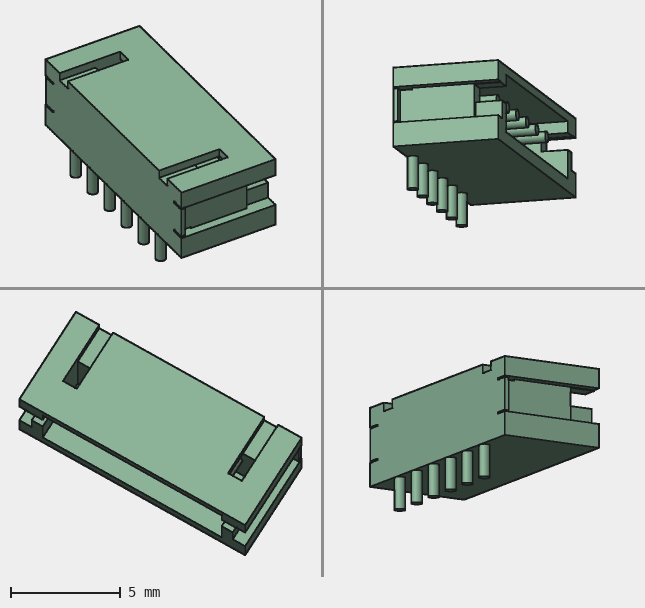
import cadquery as cq

LENGTH = 12.0
DEPTH = 5.0
HEIGHT = 3.7

CAVITY_FRONT = 1.91
END_WALL = 1.25
ROOF = 0.41
FLOOR = 0.6
CAVITY_LENGTH = LENGTH - 2 * END_WALL
CAVITY_TOP = HEIGHT - ROOF

RECESS_DEPTH = 0.45
RECESS_TOP = HEIGHT - 0.91
RECESS_BOTTOM = 1.12
FLANGE_THICKNESS = 0.22
FLANGE_INSET = 0.04

SLIT_LENGTH = 0.66
SLIT_DEPTH = 0.77
SLIT_HEIGHT = 0.07

NOTCH_FRONT = 3.75
STEP_INSET = 0.66
STEP_TOP = 1.95
NOTCH_TOP = HEIGHT - 0.95

SLOT_WIDTH = 0.73
SLOT_LENGTH = 3.22

PIN_COUNT = 6
PIN_PITCH = 1.5
PIN_DIAMETER = 0.5
TAIL_LENGTH = 1.5
CONTACT_END = 4.31
CONTACT_Z = HEIGHT - 1.32


def block(x, y, z):
    """Box spanning the given (low, high) range along each axis."""
    size = (x[1] - x[0], y[1] - y[0], z[1] - z[0])
    return cq.Workplane("XY").box(*size, centered=False).translate((x[0], y[0], z[0]))


def left_end_cuts():
    """Material removed from the left end wall and the roof slot beside it."""
    left = -LENGTH / 2
    cavity_left = left + END_WALL
    recess_z = (RECESS_BOTTOM, RECESS_TOP)
    recess = block((left, left + RECESS_DEPTH), (FLANGE_THICKNESS, DEPTH), recess_z)
    flange_trim = block((left, left + FLANGE_INSET), (0, FLANGE_THICKNESS), recess_z)
    cuts = recess.union(flange_trim)

    for slit_z in (RECESS_BOTTOM, RECESS_TOP - SLIT_HEIGHT):
        slit = block((left, left + SLIT_LENGTH), (0, SLIT_DEPTH), (slit_z, slit_z + SLIT_HEIGHT))
        cuts = cuts.union(slit)

    step_face = block((left, left + STEP_INSET), (NOTCH_FRONT, DEPTH), (RECESS_BOTTOM, NOTCH_TOP))
    window = block((left, cavity_left), (NOTCH_FRONT, DEPTH), (STEP_TOP, NOTCH_TOP))
    slot_x = (cavity_left, cavity_left + SLOT_WIDTH)
    roof_slot = block(slot_x, (0, SLOT_LENGTH), (CAVITY_TOP, HEIGHT))
    return cuts.union(step_face).union(window).union(roof_slot)


def housing():
    """Rectangular shell with mirrored end details."""
    half = LENGTH / 2
    body = block((-half, half), (0, DEPTH), (0, HEIGHT))
    cavity_x = (-CAVITY_LENGTH / 2, CAVITY_LENGTH / 2)
    body = body.cut(block(cavity_x, (CAVITY_FRONT, DEPTH), (FLOOR, CAVITY_TOP)))
    end_cuts = left_end_cuts()
    return body.cut(end_cuts).cut(end_cuts.mirror("YZ"))


def pin_sections(x):
    """Solder tail below the housing and horizontal contact inside the cavity."""
    radius = PIN_DIAMETER / 2
    tail = cq.Workplane("XY").center(x, radius).circle(radius).extrude(-TAIL_LENGTH)
    contact = (
        cq.Workplane("XZ", origin=(x, CAVITY_FRONT, CONTACT_Z))
        .circle(radius)
        .extrude(CAVITY_FRONT - CONTACT_END)
    )
    return tail, contact


result = housing()
for index in range(PIN_COUNT):
    pin_x = (index - (PIN_COUNT - 1) / 2) * PIN_PITCH
    for pin_section in pin_sections(pin_x):
        result = result.union(pin_section)